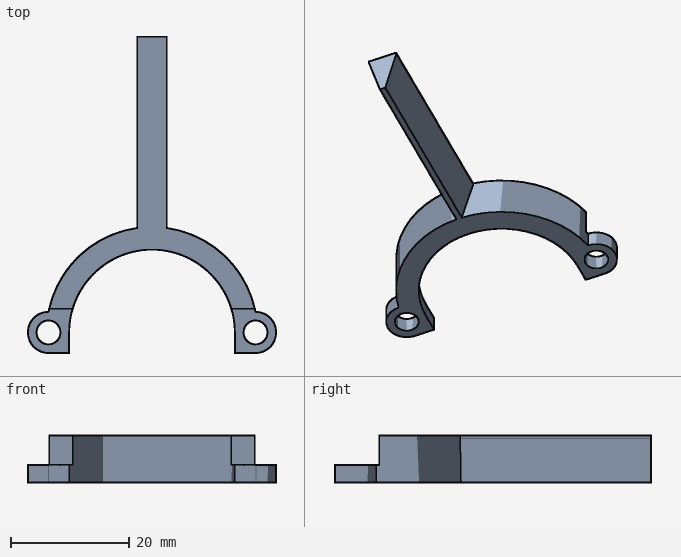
import cadquery as cq

INNER_RADIUS = 14.0
OUTER_RADIUS = 17.85
HEIGHT = 8.0
RING_END_Y = 4.0

FOOT_RADIUS = 3.5
FOOT_HEIGHT = 3.0
HOLE_DIAMETER = 4.0
HOLE_X = INNER_RADIUS + FOOT_RADIUS

HANDLE_END_Y = 50.0
HANDLE_TOP_WIDTH = 5.0
HANDLE_BOTTOM_WIDTH = 1.0
HANDLE_STRAIGHT_EDGE = 0.5


def half_ring(start_y, height):
    """Part of the ring beyond start_y, standing on Z = 0."""
    ring = cq.Workplane("XY").circle(OUTER_RADIUS).circle(INNER_RADIUS).extrude(height)
    keep = (
        cq.Workplane("XY")
        .center(0, start_y)
        .rect(2 * OUTER_RADIUS, 2 * OUTER_RADIUS)
        .extrude(height)
        .translate((0, OUTER_RADIUS, 0))
    )
    return ring.intersect(keep)


def foot(side):
    """Round lug squared off towards the ring opening; side is -1 or 1."""
    lug = cq.Workplane("XY").center(side * HOLE_X, 0).circle(FOOT_RADIUS).extrude(FOOT_HEIGHT)
    square_side = (
        cq.Workplane("XY")
        .moveTo(side * INNER_RADIUS, -FOOT_RADIUS)
        .lineTo(side * HOLE_X, -FOOT_RADIUS)
        .lineTo(side * HOLE_X, 0)
        .lineTo(side * INNER_RADIUS, 0)
        .close()
        .extrude(FOOT_HEIGHT)
    )
    return lug.union(square_side)


def handle():
    """Tapered bar running from the ring along +Y, clear of the ring bore."""
    half_top = HANDLE_TOP_WIDTH / 2
    half_bottom = HANDLE_BOTTOM_WIDTH / 2
    taper_top_z = HEIGHT - HANDLE_STRAIGHT_EDGE
    bar = (
        cq.Workplane("XZ")
        .polyline(
            [
                (-half_bottom, 0),
                (half_bottom, 0),
                (half_top, taper_top_z),
                (half_top, HEIGHT),
                (-half_top, HEIGHT),
                (-half_top, taper_top_z),
            ]
        )
        .close()
        .extrude(-HANDLE_END_Y)
    )
    bore = cq.Workplane("XY").circle(INNER_RADIUS).extrude(HEIGHT)
    return bar.cut(bore)


def screw_holes():
    """Pins that cut the hole through each foot."""
    return (
        cq.Workplane("XY")
        .pushPoints([(-HOLE_X, 0), (HOLE_X, 0)])
        .circle(HOLE_DIAMETER / 2)
        .extrude(FOOT_HEIGHT)
    )


result = half_ring(RING_END_Y, HEIGHT).union(half_ring(0, FOOT_HEIGHT))
for side in (-1, 1):
    result = result.union(foot(side))
result = result.union(handle()).cut(screw_holes())